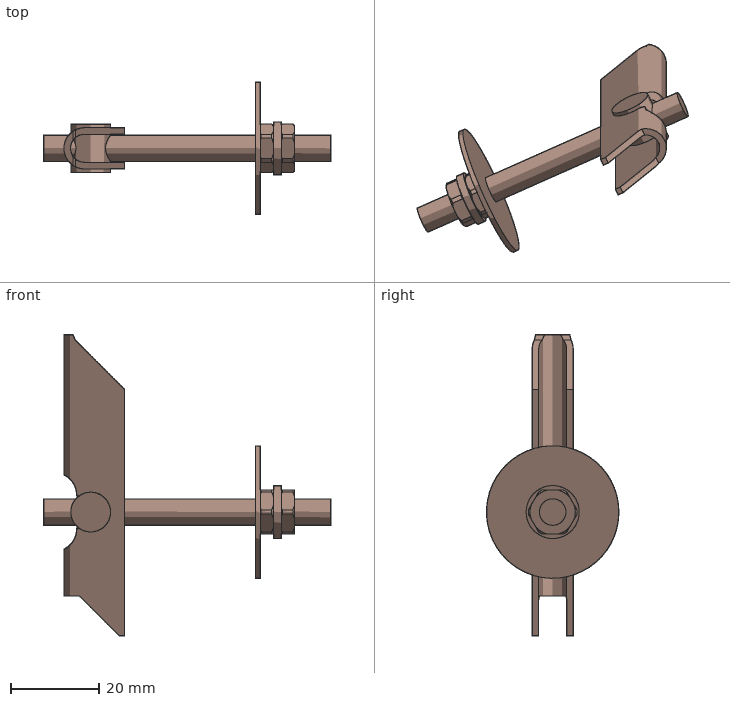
import cadquery as cq


ROD_DIAMETER = 6.0
ROD_START = -10.65
ROD_LENGTH = 65.0
TRUNNION_DIAMETER = 9.0
TRUNNION_LENGTH = 11.0
WASHER_DIAMETER = 30.0
WASHER_THICKNESS = 1.1
WASHER_START = 37.3
COLLAR_DIAMETER = 12.0
COLLAR_LENGTH = 1.8
NUT_LENGTH = 3.0
NUT_ACROSS_FLATS = 10.0
NUT_ROUND_DIAMETER = 11.05
NUT_INNER_CHAMFER = 0.2
NUT_OUTER_CHAMFER = 0.4

WING_WIDTH = 9.35
WING_WALL = 1.5
WING_BACK = -6.1
WING_FRONT = 7.7
WING_TOP = 40.2
WING_HEIGHT = 68.2
WING_BOTTOM = WING_TOP - WING_HEIGHT
TOP_FLAT_END = -4.0
TOP_STEP_WIDTH = 0.55
TOP_STEP_DEPTH = 1.2
TIP_WIDTH = 1.2
BACK_BOTTOM = -19.0

SLOT_DEPTH = 2.85
SLOT_CORNER_RADIUS = 5.0
SLOT_HALF_HEIGHT = 8.9
SEAT_HALF_HEIGHT = 3.6


def disc(diameter, start, length):
    """Cylinder on the bolt axis."""
    return cq.Workplane("YZ", origin=(start, 0, 0)).circle(diameter / 2).extrude(length)


def trunnion_cylinder(length):
    """Cylinder on the Y axis, centred on the bolt axis."""
    return cq.Workplane("XZ", origin=(0, length / 2, 0)).circle(TRUNNION_DIAMETER / 2).extrude(length)


def make_nut(start):
    """Hexagon with two corners on the Y axis, trimmed by a chamfered round."""
    hexagon = (
        cq.Workplane("YZ", origin=(start, 0, 0))
        .polygon(6, NUT_ACROSS_FLATS, circumscribed=True)
        .extrude(NUT_LENGTH)
        .rotate((0, 0, 0), (1, 0, 0), 90)
    )
    trim = (
        disc(NUT_ROUND_DIAMETER, start, NUT_LENGTH)
        .faces("<X").chamfer(NUT_INNER_CHAMFER)
        .faces(">X").chamfer(NUT_OUTER_CHAMFER)
    )
    return hexagon.intersect(trim)


def make_bolt():
    first_nut_start = WASHER_START + WASHER_THICKNESS
    collar_start = first_nut_start + NUT_LENGTH
    second_nut_start = collar_start + COLLAR_LENGTH
    bolt = (
        disc(ROD_DIAMETER, ROD_START, ROD_LENGTH)
        .union(trunnion_cylinder(TRUNNION_LENGTH))
        .union(disc(WASHER_DIAMETER, WASHER_START, WASHER_THICKNESS))
        .union(disc(COLLAR_DIAMETER, collar_start, COLLAR_LENGTH))
    )
    for start in (first_nut_start, second_nut_start):
        bolt = bolt.union(make_nut(start))
    return bolt


def wing_channel():
    """Full-height U section with a half-round back."""
    outer_radius = WING_WIDTH / 2
    inner_radius = outer_radius - WING_WALL
    arc_center = WING_BACK + outer_radius
    return (
        cq.Workplane("XY", origin=(0, 0, WING_BOTTOM))
        .moveTo(WING_FRONT, outer_radius)
        .lineTo(arc_center, outer_radius)
        .threePointArc((WING_BACK, 0), (arc_center, -outer_radius))
        .lineTo(WING_FRONT, -outer_radius)
        .lineTo(WING_FRONT, -inner_radius)
        .lineTo(arc_center, -inner_radius)
        .threePointArc((WING_BACK + WING_WALL, 0), (arc_center, inner_radius))
        .lineTo(WING_FRONT, inner_radius)
        .close()
        .extrude(WING_HEIGHT)
    )


def wing_side_profile():
    """Side outline whose sloping ends both run at 45 degrees."""
    slope_start_x = TOP_FLAT_END + TOP_STEP_WIDTH
    slope_start_z = WING_TOP - TOP_STEP_DEPTH
    front_top = slope_start_z - (WING_FRONT - slope_start_x)
    tip_start = WING_FRONT - TIP_WIDTH
    back_bottom_end = tip_start - (BACK_BOTTOM - WING_BOTTOM)
    return (
        cq.Workplane("XZ")
        .moveTo(WING_BACK, WING_TOP)
        .lineTo(TOP_FLAT_END, WING_TOP)
        .lineTo(slope_start_x, slope_start_z)
        .lineTo(WING_FRONT, front_top)
        .lineTo(WING_FRONT, WING_BOTTOM)
        .lineTo(tip_start, WING_BOTTOM)
        .lineTo(back_bottom_end, BACK_BOTTOM)
        .lineTo(WING_BACK, BACK_BOTTOM)
        .close()
        .extrude(WING_WIDTH, both=True)
    )


def swing_slot():
    """Round-cornered cut through the back, with a squared seat behind it."""
    floor = WING_BACK + SLOT_DEPTH
    slot_width = 2 * SLOT_CORNER_RADIUS
    slot = (
        cq.Workplane("XY")
        .box(slot_width, 2 * WING_WIDTH, 2 * SLOT_HALF_HEIGHT)
        .edges("|Y and >X").fillet(SLOT_CORNER_RADIUS)
        .translate((floor - slot_width / 2, 0, 0))
    )
    seat_depth = -WING_BACK
    seat = (
        cq.Workplane("XY")
        .box(seat_depth, 2 * WING_WIDTH, 2 * SEAT_HALF_HEIGHT)
        .translate((-seat_depth / 2, 0, 0))
    )
    return slot.union(seat)


def make_wing():
    return (
        wing_channel()
        .intersect(wing_side_profile())
        .cut(swing_slot())
        .cut(trunnion_cylinder(2 * WING_WIDTH))
    )


bolt = make_bolt()
wing = make_wing()

result = cq.Compound.makeCompound([bolt.solids().val(), wing.solids().val()])